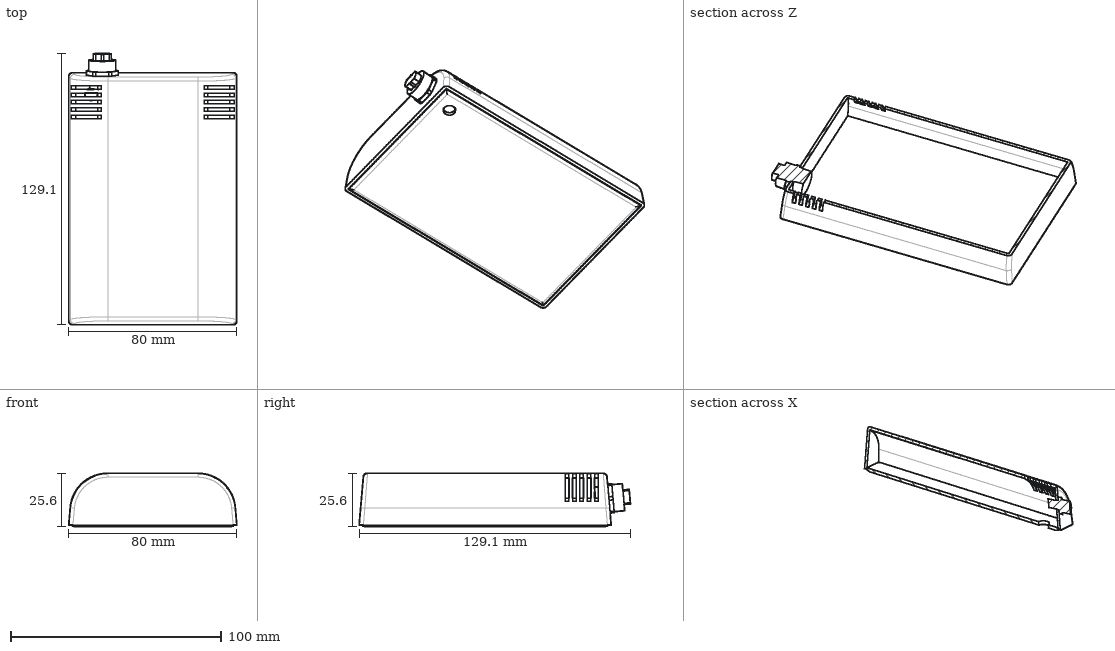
import cadquery as cq
import math

overall_length = 129.1
width = 80.0
length = 120.0
height = 25.6
draft = 5.0
wall = 1.7
shoulder_radius = 18.0
edge_radius = 2.0

base_proud = 0.9
base_plug_depth = 1.0
base_chamfer_width = 1.8
base_chamfer_height = 0.5
cable_hole_diameter = 5.8
cable_hole_x = -29.3
cable_hole_y = 49.6

slot_count = 5
slot_width = 1.7
slot_pitch = 3.5
last_slot_from_end = 21.0
slot_start_angle = 10.0
slot_end_angle = 75.0
slot_floor_lean = 10.0
slot_reach = 25.8

connector_x = -24.0
connector_z = 13.5
nut_across_flats = 14.0
nut_corner_diameter = 15.2
nut_thickness = 2.0
barrel_diameter = 13.0
barrel_length = 5.0
tip_diameter = 8.7
tip_across_flats = 5.8
key_diameter = 1.2
tail_diameter = 12.0
tail_length = 6.5

draft_slope = math.tan(math.radians(draft))
draft_cos = math.cos(math.radians(draft))
draft_sin = math.sin(math.radians(draft))

rim_z = base_proud
shoulder_z = height - shoulder_radius
shoulder_end_z = shoulder_z + shoulder_radius * draft_sin
shoulder_x = width / 2 - (shoulder_end_z - rim_z) * draft_slope - shoulder_radius * draft_cos

connector_wall_y = length / 2 - (connector_z - rim_z) * draft_slope
key_reach = (tip_across_flats + key_diameter) / 2
tip_end_y = overall_length - length / 2
tip_end = (tip_end_y - connector_wall_y - key_reach * draft_sin) / draft_cos
tip_length = tip_end - nut_thickness - barrel_length


def tapered_block(inset):
    """Enclosure block with every wall and the roof moved inward by inset."""
    radius = shoulder_radius - inset
    roof_z = shoulder_z + radius
    side_x = shoulder_x + radius * draft_cos
    side_z = shoulder_z + radius * draft_sin
    foot_x = side_x + (side_z - rim_z) * draft_slope
    mid_angle = math.radians((90 + draft) / 2)
    mid_x = shoulder_x + radius * math.cos(mid_angle)
    mid_z = shoulder_z + radius * math.sin(mid_angle)
    cross_section = (
        cq.Workplane("XZ")
        .moveTo(-foot_x, rim_z)
        .lineTo(foot_x, rim_z)
        .lineTo(side_x, side_z)
        .threePointArc((mid_x, mid_z), (shoulder_x, roof_z))
        .lineTo(-shoulder_x, roof_z)
        .threePointArc((-mid_x, mid_z), (-side_x, side_z))
        .close()
        .extrude(length / 2, both=True)
    )
    foot_y = length / 2 - inset / draft_cos
    roof_y = foot_y - (roof_z - rim_z) * draft_slope
    side_outline = (
        cq.Workplane("YZ")
        .polyline([(-foot_y, rim_z), (foot_y, rim_z), (roof_y, roof_z), (-roof_y, roof_z)])
        .close()
        .extrude(width, both=True)
    )
    return cross_section.intersect(side_outline)


def shoulder_point(angle):
    """Point (x, z) on the outside of the +X shoulder, angle measured from vertical."""
    turn = math.radians(angle)
    return shoulder_x + shoulder_radius * math.sin(turn), shoulder_z + shoulder_radius * math.cos(turn)


def slot_cutter(slot_y):
    """Cutter for one slot: two flat floors meeting in a wide V inside the +X shoulder."""
    start_x, start_z = shoulder_point(slot_start_angle)
    end_x, end_z = shoulder_point(slot_end_angle)
    half_chord = math.hypot(end_x - start_x, end_z - start_z) / 2
    v_depth = half_chord * math.tan(math.radians(slot_floor_lean))
    outward = math.radians((slot_start_angle + slot_end_angle) / 2)
    out_x = math.sin(outward)
    out_z = math.cos(outward)
    v_point = ((start_x + end_x) / 2 - v_depth * out_x, (start_z + end_z) / 2 - v_depth * out_z)
    reach_x = slot_reach * out_x
    reach_z = slot_reach * out_z
    return (
        cq.Workplane("XZ", origin=(0, slot_y, 0))
        .polyline([
            (start_x, start_z),
            v_point,
            (end_x, end_z),
            (end_x + reach_x, end_z + reach_z),
            (start_x + reach_x, start_z + reach_z),
        ])
        .close()
        .extrude(slot_width / 2, both=True)
    )


def connector_plane():
    """Plane on the leaning end wall, centred on the connector and facing outward."""
    return cq.Plane(
        origin=(connector_x, connector_wall_y, connector_z),
        xDir=(1, 0, 0),
        normal=(0, draft_cos, draft_sin),
    )


def make_housing():
    """Hollow housing, open underneath, with vents and the connector hole."""
    outside = tapered_block(0)
    outside = outside.faces("<Y or >Y").edges("not <Z").fillet(edge_radius)
    shell = outside.cut(tapered_block(wall))
    for index in range(slot_count):
        slot_y = length / 2 - last_slot_from_end + index * slot_pitch
        cutter = slot_cutter(slot_y)
        shell = shell.cut(cutter).cut(cutter.mirror("YZ"))
    connector_hole = cq.Workplane(connector_plane()).circle(tail_diameter / 2).extrude(-tail_length)
    return shell.cut(connector_hole)


def make_base():
    """Base plate filling the mouth of the housing, chamfered underneath, with a cable hole."""
    plate_width = width - 2 * wall / draft_cos
    plate_length = length - 2 * wall / draft_cos
    plate_height = base_proud + base_plug_depth
    plug_slab = cq.Workplane("XY", origin=(0, 0, rim_z)).rect(width, length).extrude(base_plug_depth)
    plug = tapered_block(wall).intersect(plug_slab)
    proud_plate = cq.Workplane("XY").rect(plate_width, plate_length).extrude(base_proud)
    proud_plate = proud_plate.faces("<Z").chamfer(base_chamfer_height, base_chamfer_width)
    cable_hole = (
        cq.Workplane("XY")
        .center(cable_hole_x, cable_hole_y)
        .circle(cable_hole_diameter / 2)
        .extrude(plate_height)
    )
    return proud_plate.union(plug).cut(cable_hole)


def make_connector():
    """Connector: tail inside the housing, then nut, barrel and keyed tip outside."""
    seat = connector_plane()
    hex_corner_diameter = nut_across_flats / math.cos(math.radians(30))
    tail = cq.Workplane(seat).circle(tail_diameter / 2).extrude(-tail_length)
    nut = cq.Workplane(seat).polygon(6, hex_corner_diameter).extrude(nut_thickness)
    nut = nut.intersect(cq.Workplane(seat).circle(nut_corner_diameter / 2).extrude(nut_thickness))
    barrel = (
        cq.Workplane(seat)
        .workplane(offset=nut_thickness)
        .circle(barrel_diameter / 2)
        .extrude(barrel_length)
    )
    tip_base = cq.Workplane(seat).workplane(offset=nut_thickness + barrel_length)
    tip = tip_base.circle(tip_diameter / 2).extrude(tip_length)
    tip = tip.intersect(tip_base.rect(tip_diameter, tip_across_flats).extrude(tip_length))
    keys = (
        tip_base
        .pushPoints([(0, tip_across_flats / 2), (0, -tip_across_flats / 2)])
        .circle(key_diameter / 2)
        .extrude(tip_length)
    )
    return tail.union(nut).union(barrel).union(tip).union(keys)


housing = make_housing()
base = make_base()
connector = make_connector()

result = cq.Compound.makeCompound([housing.val(), base.val(), connector.val()])